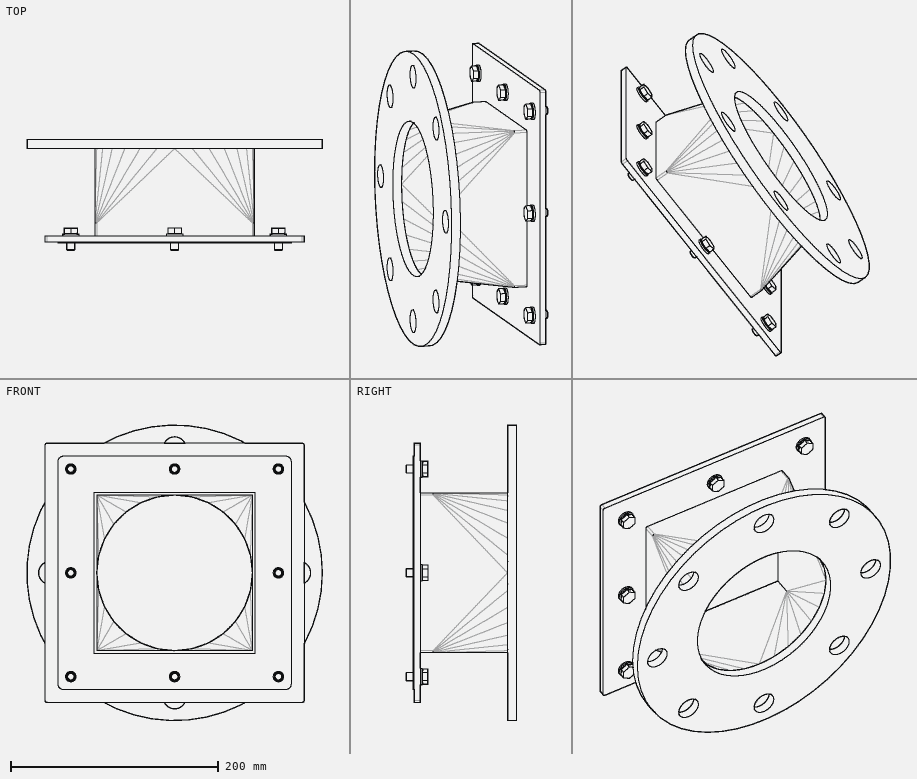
import cadquery as cq
import math


flange_diameter = 285.0
flange_thickness = 8.8
flange_hole_diameter = 22.0
flange_hole_circle_diameter = 240.0
flange_hole_count = 8

bore = 150.0
wall = 2.0
duct_width = bore + 2 * wall
fold_depth = 82.5
facets_per_corner = 7

plate_width = 250.0
plate_thickness = 6.0
plate_back_depth = 93.0
plate_front_depth = plate_back_depth + plate_thickness
corner_radius = wall

gasket_width = 225.0
gasket_window = 155.0
gasket_thickness = 1.0
gasket_corner_radius = 5.0
gasket_hole_diameter = 10.0

total_depth = 107.0
screw_spacing = 100.0
screw_diameter = 8.0
screw_tip_chamfer = 0.9
screw_tip_chamfer_length = 0.5
washer_diameter = 16.0
washer_thickness = 1.7
bearing_face_diameter = 11.5
bearing_face_height = 0.5
head_across_flats = 13.0
head_height = 5.0
head_corner_diameter = head_across_flats / math.cos(math.pi / 6)


def at_depth(depth):
    """Workplane facing -Y, with X right and Z up, at a depth measured from the flange back."""
    return cq.Workplane("XZ", origin=(0, -depth, 0))


def square_block(width, start, end):
    """Square block centred on the Y axis between two depths."""
    return at_depth(start).rect(width, width).extrude(end - start)


def disc(diameter, start, end):
    """Round disc centred on the Y axis between two depths."""
    return at_depth(start).circle(diameter / 2).extrude(end - start)


def transition_block(width):
    """Faceted solid from a polygon of diameter `width` at the flange to a square at the fold."""
    half = width / 2
    quarter = math.pi / 2
    step = quarter / facets_per_corner
    round_y = -flange_thickness
    square_y = -fold_depth

    faces = []
    rim = []
    corners = []

    def add_face(points):
        vectors = [cq.Vector(*point) for point in points]
        faces.append(cq.Face.makeFromWires(cq.Wire.makePolygon(vectors, close=True)))

    for k in range(4 * facets_per_corner):
        rim.append((half * math.cos(k * step), round_y, half * math.sin(k * step)))
    for x, z in ((1, 1), (-1, 1), (-1, -1), (1, -1)):
        corners.append((x * half, square_y, z * half))

    for i, corner in enumerate(corners):
        first = i * facets_per_corner
        for k in range(first, first + facets_per_corner):
            add_face([corner, rim[k], rim[(k + 1) % len(rim)]])
        add_face([corners[i - 1], corner, rim[first]])
    add_face(rim)
    add_face(corners)
    return cq.Workplane(cq.Solid.makeSolid(cq.Shell.makeShell(faces)))


def make_flange():
    hole_radius = flange_hole_circle_diameter / 2
    return (
        disc(flange_diameter, 0, flange_thickness)
        .cut(disc(bore, 0, flange_thickness))
        .cut(
            at_depth(0)
            .polarArray(hole_radius, 0, 360, flange_hole_count)
            .circle(flange_hole_diameter / 2)
            .extrude(flange_thickness)
        )
    )


def make_duct():
    neck = square_block(duct_width, fold_depth, plate_back_depth)
    envelope = square_block(duct_width, flange_thickness, plate_back_depth).edges("|Y").fillet(corner_radius)
    return (
        transition_block(duct_width)
        .union(neck)
        .intersect(envelope)
        .cut(transition_block(bore))
        .cut(square_block(bore, fold_depth, plate_back_depth))
    )


def make_plate():
    return (
        square_block(plate_width, plate_back_depth, plate_front_depth)
        .edges("|Y")
        .fillet(corner_radius)
        .cut(square_block(bore, plate_back_depth, plate_front_depth))
    )


def screw_positions():
    """The eight X, Z places around the plate: corners and middles of the sides."""
    steps = (-screw_spacing, 0, screw_spacing)
    return [(x, z) for x in steps for z in steps if (x, z) != (0, 0)]


def make_screw():
    """Hexagon screw with its washer, on the Y axis; head behind the plate, tip in front of it."""
    washer_back = plate_back_depth - washer_thickness
    head_front = washer_back - bearing_face_height
    head_back = head_front - head_height
    head = (
        at_depth(head_back)
        .transformed(rotate=(0, 0, 90))
        .polygon(6, head_corner_diameter)
        .extrude(head_height)
    )
    bearing_face = disc(bearing_face_diameter, head_front, washer_back)
    washer = disc(washer_diameter, washer_back, plate_back_depth)
    shank = (
        disc(screw_diameter, plate_back_depth, total_depth)
        .faces("<Y")
        .chamfer(screw_tip_chamfer_length, screw_tip_chamfer)
    )
    return head.union(bearing_face).union(washer).union(shank)


def make_adapter():
    """Flange, duct, plate and fixed screws as one solid."""
    adapter = make_flange().union(make_duct()).union(make_plate())
    screw = make_screw()
    for x, z in screw_positions():
        adapter = adapter.union(screw.translate((x, 0, z)))
    return adapter


def make_gasket():
    front_depth = plate_front_depth + gasket_thickness
    return (
        square_block(gasket_width, plate_front_depth, front_depth)
        .edges("|Y")
        .fillet(gasket_corner_radius)
        .cut(square_block(gasket_window, plate_front_depth, front_depth))
        .cut(
            at_depth(plate_front_depth)
            .pushPoints(screw_positions())
            .circle(gasket_hole_diameter / 2)
            .extrude(gasket_thickness)
        )
    )


adapter = make_adapter()
gasket = make_gasket()

result = cq.Compound.makeCompound([adapter.val(), gasket.val()])